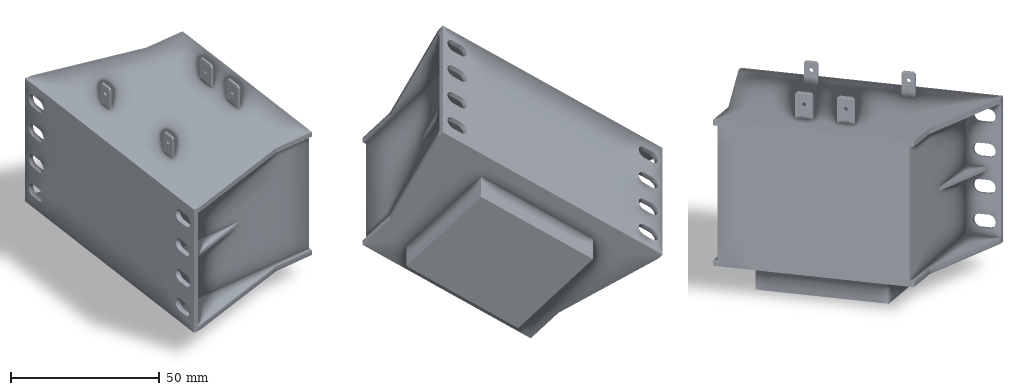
import cadquery as cq

plate_width = 94.0
plate_thickness = 1.8
housing_depth = 58.5
housing_height = 51.7

flange_thickness = 2.0
flange_back_width = 72.0
flange_straight_back = 15.2
flange_straight_front = 2.4

core_width = 69.0

rib_thickness = 1.2
rib_depth = 29.1

block_width = 47.8
block_depth = 41.2
block_height = 9.7

slot_length = 8.2
slot_height = 5.0
slot_spacing_x = 81.8
slot_spacing_z_outer = 37.4
slot_spacing_z_inner = 12.9

tab_row_spacing = 35.0
tab_row_shift_back = 0.15
tab_thickness = 0.8
tab_bevel = 0.1
tab_hole_diameter = 1.5

large_tab_width = 6.3
large_tab_height = 9.4
large_tab_tip = 0.8
large_tab_hole_height = 5.0
large_tab_spacing = 15.0

small_tab_width = 4.8
small_tab_height = 9.0
small_tab_tip = 0.55
small_tab_hole_height = 5.8
small_tab_spacing = 35.0
small_tab_foot_width = 4.0
small_tab_foot_height = 0.5

middle_y = housing_depth / 2
middle_z = housing_height / 2
tab_rows_middle_y = middle_y + tab_row_shift_back
large_tab_y = tab_rows_middle_y + tab_row_spacing / 2
small_tab_y = tab_rows_middle_y - tab_row_spacing / 2


def box(width, depth, height, y_front, z_bottom):
    """Box centred on X = 0, starting at the given Y and Z."""
    return (
        cq.Workplane("XY")
        .box(width, depth, height, centered=(True, False, False))
        .translate((0, y_front, z_bottom))
    )


def make_flange(z_bottom):
    """Flange plate: full width at the plate, tapering to the back width."""
    half_front = plate_width / 2
    half_back = flange_back_width / 2
    taper_end = housing_depth - flange_straight_back
    right_side = [
        (half_front, 0),
        (half_front, flange_straight_front),
        (half_back, taper_end),
        (half_back, housing_depth),
    ]
    left_side = [(-x, y) for x, y in reversed(right_side)]
    return (
        cq.Workplane("XY")
        .workplane(offset=z_bottom)
        .polyline(right_side + left_side)
        .close()
        .extrude(flange_thickness)
    )


def make_ribs():
    """Pair of triangular ribs joined through the core, edges parallel to the flange taper."""
    half_core = core_width / 2
    taper_length = housing_depth - flange_straight_back - flange_straight_front
    taper_slope = (plate_width - flange_back_width) / 2 / taper_length
    half_front = half_core + rib_depth * taper_slope
    outline = [
        (half_front, 0),
        (half_core, rib_depth),
        (-half_core, rib_depth),
        (-half_front, 0),
    ]
    return (
        cq.Workplane("XY")
        .workplane(offset=middle_z - rib_thickness / 2)
        .polyline(outline)
        .close()
        .extrude(rib_thickness)
    )


def make_slots():
    """Horizontal mounting slots, four on each side of the plate."""
    x_places = [side * slot_spacing_x / 2 for side in (-1, 1)]
    z_places = [
        middle_z + side * spacing / 2
        for spacing in (slot_spacing_z_outer, slot_spacing_z_inner)
        for side in (-1, 1)
    ]
    return (
        cq.Workplane("XZ")
        .pushPoints([(x, z) for x in x_places for z in z_places])
        .slot2D(slot_length, slot_height)
        .extrude(-plate_thickness)
    )


def make_tab(width, height, tip, hole_height):
    """Upright tab with its foot at the origin, a bevelled tip and a cross hole."""
    hole = (
        cq.Workplane("XZ")
        .center(0, hole_height)
        .circle(tab_hole_diameter / 2)
        .extrude(tab_thickness, both=True)
    )
    shank = box(width, tab_thickness, height - tip, -tab_thickness / 2, 0)
    tip_taper = (
        cq.Workplane("XY")
        .workplane(offset=height - tip)
        .rect(width, tab_thickness)
        .workplane(offset=tip)
        .rect(width - 2 * tip, tab_thickness - 2 * tab_bevel)
        .loft(ruled=True)
    )
    return shank.union(tip_taper).cut(hole)


def make_large_tab():
    return make_tab(large_tab_width, large_tab_height, large_tab_tip, large_tab_hole_height)


def make_small_tab():
    """Small tab, narrowed to a foot where it meets the housing."""
    tab = make_tab(small_tab_width, small_tab_height, small_tab_tip, small_tab_hole_height)
    foot_layer = box(small_tab_width, tab_thickness, small_tab_foot_height, -tab_thickness / 2, 0)
    foot = box(small_tab_foot_width, tab_thickness, small_tab_foot_height, -tab_thickness / 2, 0)
    return tab.cut(foot_layer).union(foot)


def make_housing():
    plate = box(plate_width, plate_thickness, housing_height, 0, 0)
    core = box(core_width, housing_depth, housing_height, 0, 0)
    block = box(block_width, block_depth, block_height, middle_y - block_depth / 2, -block_height)
    return (
        plate.union(core)
        .union(make_flange(0))
        .union(make_flange(housing_height - flange_thickness))
        .union(make_ribs())
        .union(block)
        .cut(make_slots())
    )


result = make_housing()
for side in (-1, 1):
    large_place = (side * large_tab_spacing / 2, large_tab_y, housing_height)
    small_place = (side * small_tab_spacing / 2, small_tab_y, housing_height)
    result = result.union(make_large_tab().translate(large_place))
    result = result.union(make_small_tab().translate(small_place))